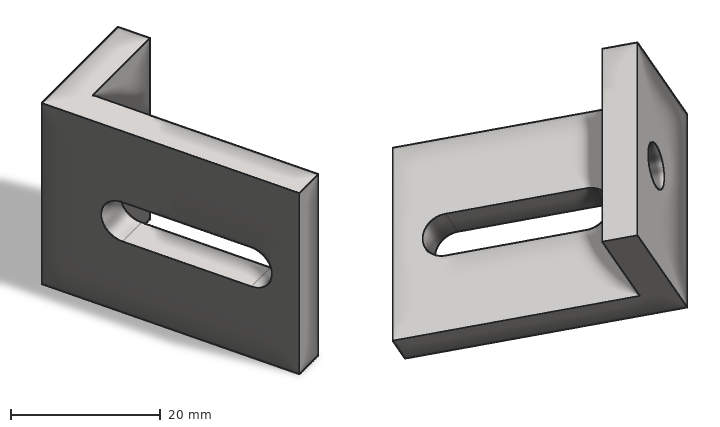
import cadquery as cq

length = 40.0
depth = 20.0
height = 30.0
thickness = 5.0
hole_diameter = 6.5
slot_travel = 20.0

slot_center_x = (thickness + length) / 2
hole_center_y = (thickness + depth) / 2
mid_height = height / 2

long_leg = cq.Workplane("XY").box(length, thickness, height, centered=False)
short_leg = cq.Workplane("XY").box(thickness, depth, height, centered=False)
body = long_leg.union(short_leg)

slot = (
    cq.Workplane("XZ")
    .center(slot_center_x, mid_height)
    .slot2D(slot_travel + hole_diameter, hole_diameter)
    .extrude(-thickness)
)

hole = (
    cq.Workplane("YZ")
    .center(hole_center_y, mid_height)
    .circle(hole_diameter / 2)
    .extrude(thickness)
)

result = body.cut(slot).cut(hole)